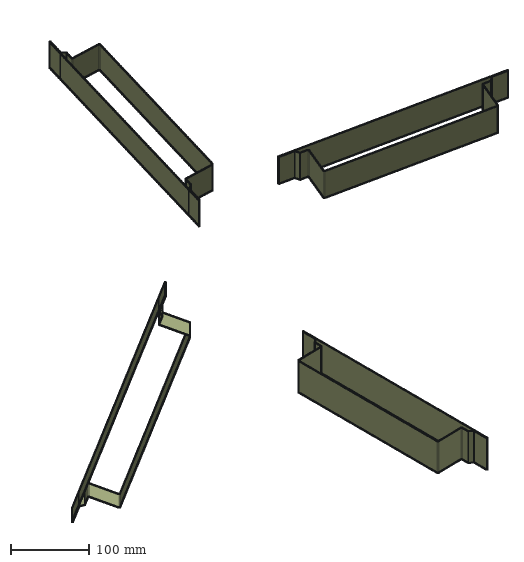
import cadquery as cq

length = 332.0
depth = 51.0
height = 50.0

plate_thickness = 1.0
sheet = 1.0
outer_bend_radius = 1.5
inner_bend_radius = outer_bend_radius - sheet

flange_half = 165.5
jog_outer_half = 142.8
jog_inner_half = 138.0
wall_half = 126.0
step_depth = 8.0
flange_depth = plate_thickness + sheet
jog_inset = sheet * 0.4


def make_plate():
    """Flat front plate."""
    return cq.Workplane("XY").box(length, plate_thickness, height, centered=(True, False, False))


def round_bends(strip, half_width, y, radius):
    """Round the upright edges at x = +half_width and x = -half_width."""
    reach = sheet / 3
    for x in (-half_width, half_width):
        corner = cq.selectors.BoxSelector(
            (x - reach, y - reach, 0), (x + reach, y + reach, height)
        )
        strip = strip.edges("|Z").edges(corner).fillet(radius)
    return strip


def make_bracket():
    """Folded strip: rear web, side walls, steps, sloped jogs and flanges on the plate."""
    right_outer = [
        (wall_half, depth),
        (wall_half, step_depth),
        (jog_inner_half, step_depth),
        (jog_outer_half, flange_depth),
        (flange_half, flange_depth),
    ]
    right_inner = [
        (flange_half, flange_depth - sheet),
        (jog_outer_half - jog_inset, flange_depth - sheet),
        (jog_inner_half - jog_inset, step_depth - sheet),
        (wall_half - sheet, step_depth - sheet),
        (wall_half - sheet, depth - sheet),
    ]
    right_half = right_outer + right_inner
    left_half = [(-x, y) for x, y in reversed(right_half)]
    strip = cq.Workplane("XY").polyline(right_half + left_half).close().extrude(height)
    strip = round_bends(strip, wall_half, depth, outer_bend_radius)
    strip = round_bends(strip, wall_half - sheet, depth - sheet, inner_bend_radius)
    strip = round_bends(strip, wall_half - sheet, step_depth - sheet, outer_bend_radius)
    return round_bends(strip, wall_half, step_depth, inner_bend_radius)


plate = make_plate()
bracket = make_bracket()

result = cq.Compound.makeCompound([plate.val(), bracket.val()])